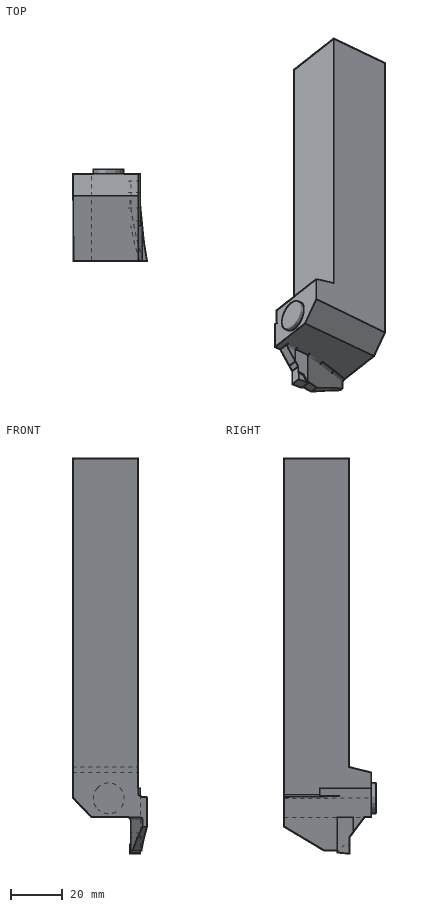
import cadquery as cq

TOOL_LENGTH = 152.4
TOOL_DEPTH = 35.5

SHANK_RIGHT = 25.1
SHANK_DEPTH = 25.1
FRONT_LEFT = 0.23

HEAD_DEPTH = 33.7
HEAD_BOTTOM = 14.2
HEAD_RIGHT = 28.7
PAD_RIGHT = 26.0
PAD_TOP = 25.3
PAD_FRONT = 13.7
LIP_TOP = 22.0
LIP_SLOPE_TOP = 22.9
LIP_SLOPE_END = 26.7
LIP_ROUND = 0.5
HEAD_SLOPE_TOP = 33.5
HEAD_BACK_TOP = 31.4
CORNER_CHAMFER_X = 7.2
CORNER_CHAMFER_TOP = 21.6
CURVE_END_Y = 21.3
CURVE_MIDDLE = (27.0, 11.0)

BOSS_DIAMETER = 11.9
BOSS_HEIGHT = TOOL_DEPTH - HEAD_DEPTH
BOSS_X = 13.7
BOSS_Z = 21.5
BOSS_ROUND = 0.5

BLADE_FRONT_LEFT = 27.0
BLADE_INNER_MIDDLE = (25.1, 6.2)
BLADE_FRONT_BOTTOM = 10.5
BLADE_TIP_Y = 15.5
BLADE_BOTTOM = 1.2
BLADE_BACK = 31.1
BLADE_OVERLAP = 1.5
BLADE_ROOT_ROUND = 1.2

INSERT_LEFT = 22.3
INSERT_FRONT = 20.5
INSERT_TIP_BACK = 25.3
INSERT_BACK = 26.7
INSERT_STEP_Z = 6.4
INSERT_SHOULDER_Z = 8.2
TIP_OVERHANG = 0.3
TIP_HEIGHT = 3.7
TIP_SHOULDER = (22.9, 3.4)
TIP_FRONT = (21.3, 1.2)
TIP_CLEARANCE = 0.5


def front_prism(points, y_start, y_end):
    """Extrude an XZ outline from y_start to y_end."""
    plane = cq.Workplane("XZ", origin=(0, y_start, 0))
    return plane.polyline(points).close().extrude(y_start - y_end)


def side_prism(points):
    """Extrude a YZ outline across the full width of the tool."""
    return cq.Workplane("YZ").polyline(points).close().extrude(HEAD_RIGHT)


def make_plan():
    """Plan outline with a leaning left side and a curved right side."""
    return (
        cq.Workplane("XY")
        .moveTo(FRONT_LEFT, 0)
        .lineTo(HEAD_RIGHT, 0)
        .threePointArc(CURVE_MIDDLE, (PAD_RIGHT, CURVE_END_Y))
        .lineTo(PAD_RIGHT, HEAD_DEPTH)
        .lineTo(0, HEAD_DEPTH)
        .close()
        .extrude(TOOL_LENGTH)
    )


def make_shank_and_head():
    front = front_prism(
        [
            (0, TOOL_LENGTH),
            (0, CORNER_CHAMFER_TOP),
            (CORNER_CHAMFER_X, HEAD_BOTTOM),
            (HEAD_RIGHT, HEAD_BOTTOM),
            (HEAD_RIGHT, LIP_TOP),
            (LIP_SLOPE_END, LIP_TOP),
            (SHANK_RIGHT, LIP_SLOPE_TOP),
            (SHANK_RIGHT, TOOL_LENGTH),
        ],
        0,
        HEAD_DEPTH,
    )
    lip_corner = cq.selectors.NearestToPointSelector((HEAD_RIGHT, HEAD_DEPTH / 2, LIP_TOP))
    front = front.edges(lip_corner).fillet(LIP_ROUND)
    pad = front_prism(
        [
            (BOSS_X, HEAD_BOTTOM),
            (PAD_RIGHT, HEAD_BOTTOM),
            (PAD_RIGHT, PAD_TOP),
            (BOSS_X, PAD_TOP),
        ],
        PAD_FRONT,
        HEAD_DEPTH,
    )
    side = side_prism(
        [
            (0, HEAD_BOTTOM),
            (HEAD_DEPTH, HEAD_BOTTOM),
            (HEAD_DEPTH, HEAD_BACK_TOP),
            (SHANK_DEPTH, HEAD_SLOPE_TOP),
            (SHANK_DEPTH, TOOL_LENGTH),
            (0, TOOL_LENGTH),
        ]
    )
    return front.union(pad).intersect(make_plan()).intersect(side)


def make_blade():
    """Curved blade below the head, open where the insert sits."""
    plan = (
        cq.Workplane("XY")
        .moveTo(BLADE_FRONT_LEFT, 0)
        .lineTo(HEAD_RIGHT, 0)
        .threePointArc(CURVE_MIDDLE, (PAD_RIGHT, CURVE_END_Y))
        .lineTo(PAD_RIGHT, BLADE_BACK)
        .lineTo(INSERT_LEFT, BLADE_BACK)
        .lineTo(INSERT_LEFT, INSERT_FRONT)
        .threePointArc(BLADE_INNER_MIDDLE, (BLADE_FRONT_LEFT, 0))
        .close()
        .extrude(HEAD_BOTTOM + BLADE_OVERLAP)
    )
    front_support = side_prism(
        [
            (0, HEAD_BOTTOM + BLADE_OVERLAP),
            (0, BLADE_FRONT_BOTTOM),
            (BLADE_TIP_Y, BLADE_BOTTOM),
            (INSERT_FRONT, BLADE_BOTTOM),
            (INSERT_FRONT, HEAD_BOTTOM + BLADE_OVERLAP),
        ]
    )
    back_support = side_prism(
        [
            (INSERT_BACK, HEAD_BOTTOM + BLADE_OVERLAP),
            (INSERT_BACK, INSERT_SHOULDER_Z),
            (BLADE_BACK, HEAD_BOTTOM),
            (BLADE_BACK, HEAD_BOTTOM + BLADE_OVERLAP),
        ]
    )
    return plan.intersect(front_support.union(back_support))


def make_boss():
    return (
        cq.Workplane("XZ", origin=(BOSS_X, HEAD_DEPTH, BOSS_Z))
        .circle(BOSS_DIAMETER / 2)
        .extrude(-BOSS_HEIGHT)
        .faces(">Y")
        .edges()
        .fillet(BOSS_ROUND)
    )


def make_holder():
    holder = make_shank_and_head().union(make_blade())
    tail_middle = (INSERT_LEFT, (INSERT_BACK + BLADE_BACK) / 2)
    for middle in (BLADE_INNER_MIDDLE, tail_middle):
        root = cq.selectors.NearestToPointSelector((*middle, HEAD_BOTTOM))
        holder = holder.edges(root).fillet(BLADE_ROOT_ROUND)
    return holder.union(make_boss())


def insert_slab(left):
    """Block limiting the insert in X, from the given left side."""
    return front_prism(
        [
            (left, 0),
            (PAD_RIGHT, 0),
            (PAD_RIGHT, HEAD_BOTTOM),
            (left, HEAD_BOTTOM),
        ],
        INSERT_FRONT,
        INSERT_BACK,
    )


def make_insert():
    """Upright insert with a raised pad on the inner side of its tip."""
    stem = side_prism(
        [
            (INSERT_FRONT, HEAD_BOTTOM),
            (INSERT_FRONT, TIP_CLEARANCE),
            (INSERT_TIP_BACK, 0),
            (INSERT_TIP_BACK, INSERT_STEP_Z),
            (INSERT_BACK, INSERT_SHOULDER_Z),
            (INSERT_BACK, HEAD_BOTTOM),
        ]
    ).intersect(insert_slab(INSERT_LEFT))
    tip = side_prism(
        [
            (INSERT_FRONT, TIP_CLEARANCE),
            (INSERT_TIP_BACK, 0),
            (INSERT_TIP_BACK, TIP_HEIGHT),
            TIP_SHOULDER,
            TIP_FRONT,
        ]
    ).intersect(insert_slab(INSERT_LEFT - TIP_OVERHANG))
    return stem.union(tip)


holder = make_holder()
insert = make_insert()
result = cq.Compound.makeCompound([holder.val(), insert.val()])